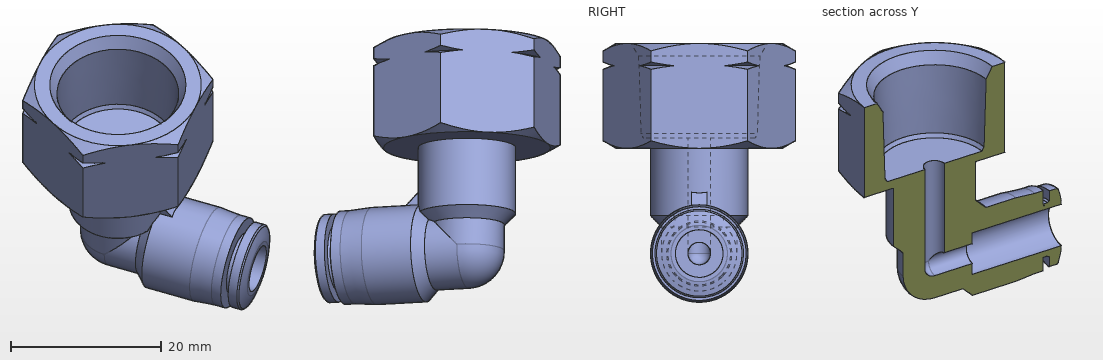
import cadquery as cq
import math


total_height = 34.5
total_length = 31.12
body_diameter = 13.0
body_radius = body_diameter / 2
top_z = total_height - body_radius

hex_corner_diameter = 25.67
hex_corner_radius = hex_corner_diameter / 2
hex_flat_radius = hex_corner_radius * math.cos(math.radians(30))
hex_height = 13.97
hex_bottom_z = top_z - hex_height
corner_chamfer_angle = 30.0
corner_chamfer_height = (hex_corner_radius - hex_flat_radius) * math.tan(math.radians(corner_chamfer_angle))
notch_drop = 2.95
notch_depth = 1.2
notch_half_height = 0.5

elbow_radius = 5.0
shoulder = body_radius - elbow_radius
collar_bottom_z = 5.05
body_start_x = 5.97
rib_thickness = 2.0
rib_size = 1.6

end_x = total_length - hex_flat_radius
straight_end_x = 12.8
taper_end_x = 15.8
sleeve_end_x = 17.15
sleeve_radius = 12.5 / 2
neck_radius = 8.35 / 2
neck_flare_x = 17.77
neck_flare = 0.17
ring_start_x = 18.08
ring_edge_x = 19.32
ring_radius = 11.8 / 2
ring_face_radius = 3.75
ring_crown_start = (19.53, 5.7)
ring_crown_middle = (19.85, 4.75)

mouth_radius = 9.07
thread_top_radius = 8.1
mouth_angle = 30.0
mouth_depth = (mouth_radius - thread_top_radius) / math.tan(math.radians(mouth_angle))
thread_length = 10.35
thread_taper = 1 / 16
thread_bottom_radius = thread_top_radius - thread_length * thread_taper / 2
bore_floor_radius = 7.45
floor_chamfer_depth = (thread_bottom_radius - bore_floor_radius) / math.tan(math.radians(mouth_angle))

passage_radius = 3.0 / 2
tube_socket_radius = 6.35 / 2


def revolve_about_z(points):
    """Revolve a closed (radius, z) outline around Z."""
    return cq.Workplane("XZ").polyline(points).close().revolve(360, (0, 0), (0, 1))


def x_cylinder(radius, start, end):
    return cq.Workplane("YZ").workplane(offset=start).circle(radius).extrude(end - start)


def make_nut():
    prism = (
        cq.Workplane("XY")
        .workplane(offset=hex_bottom_z)
        .polygon(6, hex_corner_diameter)
        .extrude(hex_height)
        .rotate((0, 0, 0), (0, 0, 1), 30)
    )
    notch_z = top_z - notch_drop
    envelope = revolve_about_z([
        (0, hex_bottom_z),
        (hex_flat_radius, hex_bottom_z),
        (hex_corner_radius, hex_bottom_z + corner_chamfer_height),
        (hex_corner_radius, notch_z - notch_half_height),
        (hex_corner_radius - notch_depth, notch_z),
        (hex_corner_radius, notch_z + notch_half_height),
        (hex_corner_radius, top_z - corner_chamfer_height),
        (hex_flat_radius, top_z),
        (0, top_z),
    ])
    return prism.intersect(envelope)


def make_vertical_leg():
    return revolve_about_z([
        (0, 0),
        (elbow_radius, 0),
        (elbow_radius, collar_bottom_z - shoulder),
        (body_radius, collar_bottom_z),
        (body_radius, hex_bottom_z),
        (0, hex_bottom_z),
    ])


def make_tube_end():
    return (
        cq.Workplane("XZ")
        .moveTo(0, 0)
        .lineTo(0, elbow_radius)
        .lineTo(body_start_x - shoulder, elbow_radius)
        .lineTo(body_start_x, body_radius)
        .lineTo(straight_end_x, body_radius)
        .lineTo(taper_end_x, sleeve_radius)
        .lineTo(sleeve_end_x, sleeve_radius)
        .lineTo(sleeve_end_x, neck_radius)
        .lineTo(neck_flare_x, neck_radius)
        .lineTo(ring_start_x, neck_radius + neck_flare)
        .lineTo(ring_start_x, ring_radius)
        .lineTo(ring_edge_x, ring_radius)
        .lineTo(*ring_crown_start)
        .threePointArc(ring_crown_middle, (end_x, ring_face_radius))
        .lineTo(end_x, 0)
        .close()
        .revolve(360, (0, 0), (1, 0))
    )


def make_rib():
    """Triangular web in the inner corner of the elbow, buried into both legs."""
    reach = body_radius + rib_size
    return (
        cq.Workplane("XZ")
        .polyline([
            (elbow_radius, elbow_radius),
            (reach + shoulder, elbow_radius),
            (elbow_radius, reach + shoulder),
        ])
        .close()
        .extrude(rib_thickness / 2, both=True)
    )


def make_nut_bore():
    thread_top_z = top_z - mouth_depth
    thread_bottom_z = thread_top_z - thread_length
    floor_z = thread_bottom_z - floor_chamfer_depth
    return revolve_about_z([
        (0, top_z),
        (mouth_radius, top_z),
        (thread_top_radius, thread_top_z),
        (thread_bottom_radius, thread_bottom_z),
        (bore_floor_radius, floor_z),
        (0, floor_z),
    ])


def make_passage():
    vertical = cq.Workplane("XY").circle(passage_radius).extrude(top_z)
    horizontal = x_cylinder(passage_radius, 0, end_x)
    bend = cq.Workplane("XY").sphere(passage_radius)
    socket = x_cylinder(tube_socket_radius, body_start_x, end_x)
    return vertical.union(horizontal).union(bend).union(socket)


elbow_ball = cq.Workplane("XY").sphere(elbow_radius)
solid_fitting = (
    make_vertical_leg()
    .union(make_tube_end())
    .union(elbow_ball)
    .union(make_rib())
    .union(make_nut())
)
result = solid_fitting.cut(make_nut_bore()).cut(make_passage())